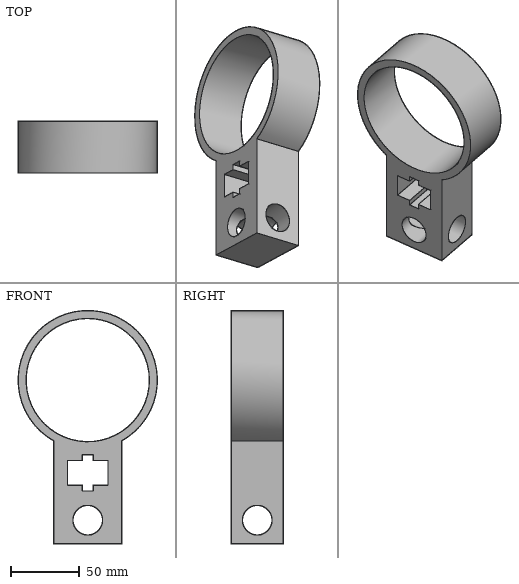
import cadquery as cq

ring_inner_diameter = 90.0
ring_wall = 6.0
ring_outer_radius = ring_inner_diameter / 2 + ring_wall
thickness = 38.1

stem_width = 50.0
stem_bottom = -119.8

rod_hole_diameter = 21.5
rod_hole_height = 17.3

window_height_above_foot = 51.9
window_width = 29.5
window_height = 18.0
notch_width = 7.9
notch_span = 26.2

rod_hole_z = stem_bottom + rod_hole_height
window_z = stem_bottom + window_height_above_foot


def cylinder_along_y(radius):
    """Cylinder about the Y axis, as deep as the part."""
    back_face = cq.Workplane("XZ", origin=(0, thickness / 2, 0))
    return back_face.circle(radius).extrude(thickness)


def block(width, height, center_z):
    """Block through the full depth of the part, centred on X and Y."""
    return cq.Workplane("XY").box(width, thickness, height).translate((0, 0, center_z))


def make_body():
    """Ring and stem, with the bore cutting away the top of the stem."""
    stem_height = -stem_bottom
    stem = block(stem_width, stem_height, stem_bottom + stem_height / 2)
    disc = cylinder_along_y(ring_outer_radius)
    bore = cylinder_along_y(ring_inner_diameter / 2)
    return disc.union(stem).cut(bore)


def make_window():
    """Cross-shaped opening through the stem along Y."""
    opening = block(window_width, window_height, window_z)
    notches = block(notch_width, notch_span, window_z)
    return opening.union(notches)


def make_rod_holes():
    """Two equal holes, one along Y and one along X, crossing at the stem axis."""
    radius = rod_hole_diameter / 2
    along_y = cylinder_along_y(radius)
    side_face = cq.Workplane("YZ", origin=(-stem_width / 2, 0, 0))
    along_x = side_face.circle(radius).extrude(stem_width)
    return along_y.union(along_x).translate((0, 0, rod_hole_z))


result = make_body().cut(make_window()).cut(make_rod_holes())